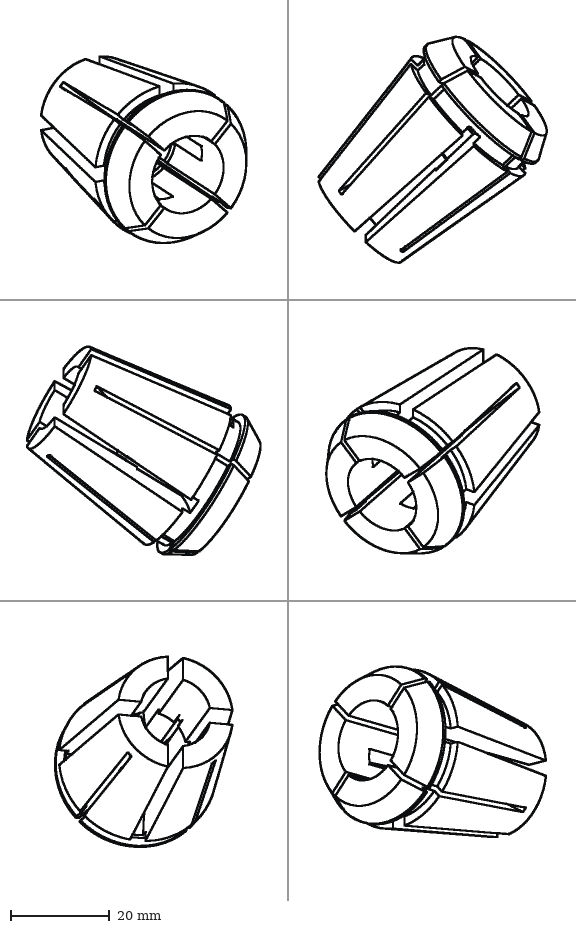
import cadquery as cq
import math

length = 40.0
small_end_radius = 12.05
taper_end_x = 30.95
taper_end_diameter = 33.0
taper_end_radius = taper_end_diameter / 2
groove_radius = 14.55
nose_start_x = 34.45
nose_rim_end_x = 35.1
nose_rim_radius = 16.3
nose_end_radius = 13.55

grip_radius = 7.35
grip_length = 20.0
relief_radius = 8.3

wide_slot_width = 3.2
wide_slot_end_x = 32.8
wide_cutter_radius = 14.0
wide_cutter_offset = 15.35

narrow_slot_width = 1.1
narrow_slot_start_x = 3.1
narrow_cutter_radius = 32.0
narrow_cutter_floor = 7.2

slot_count = 4
slot_pitch = 360 / slot_count
clearance = 2.0
slot_top = taper_end_radius + clearance


def make_body():
    profile = (
        cq.Workplane("XY")
        .polyline([
            (0, 0),
            (0, small_end_radius),
            (taper_end_x, taper_end_radius),
            (taper_end_x, groove_radius),
            (nose_start_x, groove_radius),
            (nose_start_x, nose_rim_radius),
            (nose_rim_end_x, nose_rim_radius),
            (length, nose_end_radius),
            (length, 0),
        ])
        .close()
    )
    body = profile.revolve(360, (0, 0, 0), (1, 0, 0))
    grip = cq.Workplane("YZ").circle(grip_radius).extrude(length)
    relief = (
        cq.Workplane("YZ", origin=(grip_length, 0, 0))
        .circle(relief_radius)
        .extrude(length - grip_length)
    )
    return body.cut(grip).cut(relief)


def cutter_reach(radius, height):
    """Half-width of a round cutter at a height from its centre."""
    return math.sqrt(radius**2 - height**2)


def make_wide_slot():
    groove_drop = wide_cutter_offset - groove_radius
    centre_x = wide_slot_end_x - cutter_reach(wide_cutter_radius, groove_drop)
    tip_x = centre_x + wide_cutter_radius
    foot_z = grip_radius
    mid_z = (foot_z + wide_cutter_offset) / 2
    foot_x = centre_x + cutter_reach(wide_cutter_radius, wide_cutter_offset - foot_z)
    mid_x = centre_x + cutter_reach(wide_cutter_radius, wide_cutter_offset - mid_z)
    return (
        cq.Workplane("XZ")
        .moveTo(-clearance, 0)
        .lineTo(foot_x, 0)
        .lineTo(foot_x, foot_z)
        .threePointArc((mid_x, mid_z), (tip_x, wide_cutter_offset))
        .lineTo(tip_x, slot_top)
        .lineTo(-clearance, slot_top)
        .close()
        .extrude(wide_slot_width / 2, both=True)
    )


def make_narrow_slot():
    taper_slope = (taper_end_radius - small_end_radius) / taper_end_x
    start_radius = small_end_radius + taper_slope * narrow_slot_start_x
    centre_z = narrow_cutter_floor + narrow_cutter_radius
    centre_x = narrow_slot_start_x + cutter_reach(narrow_cutter_radius, centre_z - start_radius)
    sweep = math.asin((centre_x - narrow_slot_start_x) / narrow_cutter_radius)
    floor_mid = (
        centre_x - narrow_cutter_radius * math.sin(sweep / 2),
        centre_z - narrow_cutter_radius * math.cos(sweep / 2),
    )
    return (
        cq.Workplane("XZ")
        .moveTo(narrow_slot_start_x, start_radius)
        .threePointArc(floor_mid, (centre_x, narrow_cutter_floor))
        .lineTo(length + clearance, narrow_cutter_floor)
        .lineTo(length + clearance, slot_top)
        .lineTo(narrow_slot_start_x, slot_top)
        .close()
        .extrude(narrow_slot_width / 2, both=True)
    )


def cut_slots(body, slot, first_angle):
    for index in range(slot_count):
        angle = first_angle + index * slot_pitch
        body = body.cut(slot.rotate((0, 0, 0), (1, 0, 0), angle))
    return body


result = make_body()
result = cut_slots(result, make_wide_slot(), 0)
result = cut_slots(result, make_narrow_slot(), slot_pitch / 2)